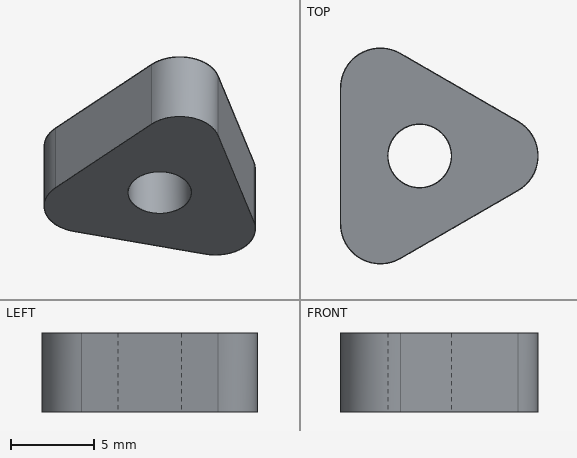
import cadquery as cq

inscribed_diameter = 9.525
thickness = 4.76
corner_radius = 2.4
hole_diameter = 3.81

corner_distance = inscribed_diameter


def triangular_body():
    """Rounded triangular plate centred on the Z axis, one corner pointing along +X."""
    return (
        cq.Workplane("XY")
        .polygon(3, 2 * corner_distance)
        .extrude(thickness)
        .edges("|Z")
        .fillet(corner_radius)
    )


def drill_centre_hole(body):
    """Plain through hole on the axis of the plate."""
    return body.faces(">Z").workplane(origin=(0, 0, thickness)).hole(hole_diameter)


result = drill_centre_hole(triangular_body())